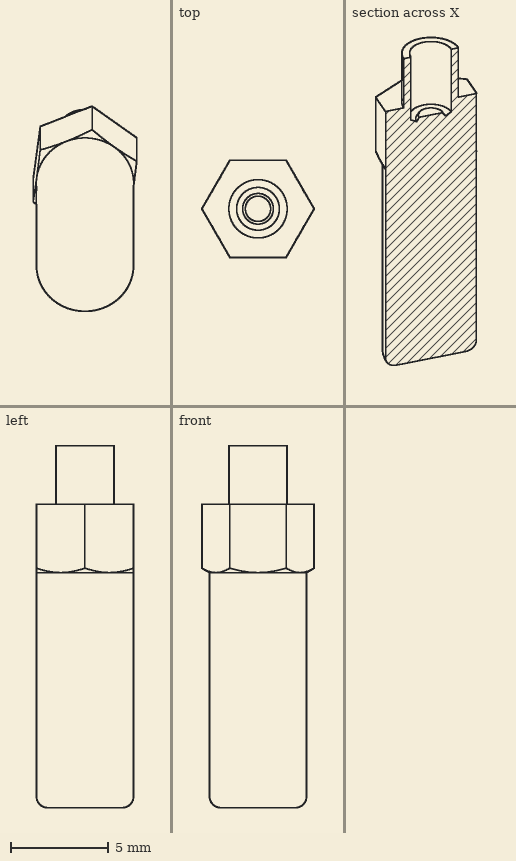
import cadquery as cq
import math

across_flats = 5.006
across_corners = across_flats / math.cos(math.radians(30))
head_height = 3.52
head_chamfer_angle = 30

overall_height = 18.61
body_diameter = across_flats
body_end_radius = 0.6

tube_diameter = 3.0
tube_height = 3.0

bore_diameter = 2.2
bore_depth = 4.0
seat_angle = 30
pin_diameter = 1.58
pin_tip_chamfer = 0.14
pin_tip_slope = 60

body_height = overall_height - tube_height - head_height
head_top = body_height + head_height
bore_floor = overall_height - bore_depth


def make_body():
    body = cq.Workplane("XY").circle(body_diameter / 2).extrude(body_height)
    return body.faces("<Z").edges().fillet(body_end_radius)


def make_head():
    """Hexagon whose lower corners are trimmed by a cone."""
    head = (
        cq.Workplane("XY")
        .workplane(offset=body_height)
        .polygon(6, across_corners)
        .extrude(head_height)
    )
    cone_radius = across_corners
    cone_rise = (cone_radius - body_diameter / 2) * math.tan(math.radians(head_chamfer_angle))
    envelope = (
        cq.Workplane("XZ")
        .moveTo(0, body_height)
        .lineTo(body_diameter / 2, body_height)
        .lineTo(cone_radius, body_height + cone_rise)
        .lineTo(cone_radius, head_top)
        .lineTo(0, head_top)
        .close()
        .revolve(360, (0, 0, 0), (0, 1, 0))
    )
    return head.intersect(envelope)


def make_tube():
    return cq.Workplane("XY").workplane(offset=head_top).circle(tube_diameter / 2).extrude(tube_height)


def make_bore():
    """Blind bore narrowing to the pin, with the chamfered pin tip left standing."""
    bore_radius = bore_diameter / 2
    pin_radius = pin_diameter / 2
    seat_drop = (bore_radius - pin_radius) * math.tan(math.radians(seat_angle))
    tip_rise = pin_tip_chamfer * math.tan(math.radians(pin_tip_slope))
    return (
        cq.Workplane("XZ")
        .moveTo(0, overall_height)
        .lineTo(bore_radius, overall_height)
        .lineTo(bore_radius, bore_floor + seat_drop)
        .lineTo(pin_radius, bore_floor)
        .lineTo(pin_radius - pin_tip_chamfer, bore_floor + tip_rise)
        .lineTo(0, bore_floor + tip_rise)
        .close()
        .revolve(360, (0, 0, 0), (0, 1, 0))
    )


result = make_body().union(make_head()).union(make_tube()).cut(make_bore())